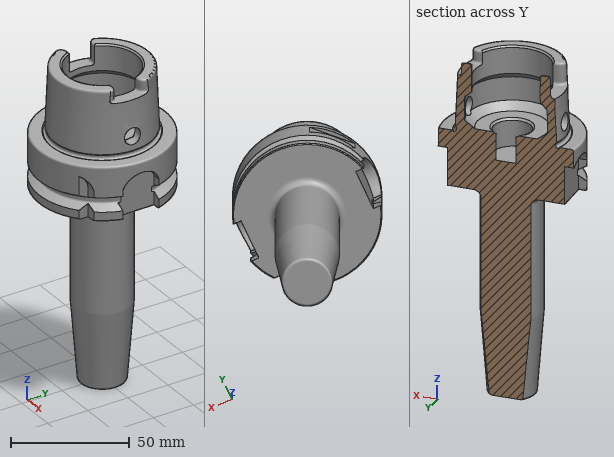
import cadquery as cq
import math

total_height = 152
flange_radius = 31.5
flange_top = 120.1
flange_bottom = 94.0

taper_top_radius = 23.0
rim_round = 1.0
taper_foot_radius = 24.2
taper_foot_z = 122.0
relief_radius = 23.7
relief_start_z = 121.5
relief_fillet = 0.9
relief_outer_radius = 25.4
relief_depth = 0.5

flange_top_round = 1.0
flange_bottom_chamfer = 0.5
groove_radius = 27.5
groove_upper_edge = 105.3
groove_lower_edge = 98.3
groove_side_angle = 30
groove_fillet = 0.8

shank_radius = 13.5
shank_fillet = 3
nose_radius = 10.6
nose_length = 38.3
nose_round = 1.2

bore_radius = 17.0
bore_chamfer = 0.8
undercut_radius = 19.9
undercut_top = 139.2
undercut_bottom = 125.5
floor_radius = 15.8
floor_z = 122.4
well_rim_radius = 9.5
well_radius = 8.5
well_floor = 109.5

notch_half_width = 6.2
notch_corner_radius = 3
notch_flare_radius = 23.3
notch_flare_half_width = 12.2
notch_floor_fillet = 1.2
left_notch_depth = 9.9
right_notch_depth = 6.1

cross_hole_radius = 4.0
cross_hole_z = 128.7

keyway_half_width = 9.0
keyway_floor_x = 26.5
keyway_arc_z = 108.2
keyway_top = 114.9
side_notch_floor_x = 19.9
side_notch_wall_y = -19.8
side_notch_radius = 8.4
side_notch_arc_z = 107.3
flat_angle = 135
flat_distance = 29.8
flat_height = 6.2
flat_z = 113.1


def arc_inset(radius):
    """Distance from a quarter arc's middle to either of its end tangents."""
    return radius * (1 - math.sqrt(0.5))


def make_body():
    groove_drop = (flange_radius - groove_radius) * math.tan(math.radians(groove_side_angle))
    groove_floor_edges = cq.selectors.BoxSelector(
        (-flange_radius, -flange_radius, groove_lower_edge + groove_drop / 2),
        (flange_radius, flange_radius, groove_upper_edge - groove_drop / 2),
    )
    nose_inset = arc_inset(nose_round)
    shank_inset = arc_inset(shank_fillet)
    flange_inset = arc_inset(flange_top_round)
    relief_inset = arc_inset(relief_fillet)
    rim_inset = arc_inset(rim_round)
    relief_floor = flange_top - relief_depth
    return (
        cq.Workplane("XZ")
        .lineTo(nose_radius - nose_round, 0)
        .threePointArc((nose_radius - nose_inset, nose_inset), (nose_radius, nose_round))
        .lineTo(shank_radius, nose_length)
        .lineTo(shank_radius, flange_bottom - shank_fillet)
        .threePointArc(
            (shank_radius + shank_inset, flange_bottom - shank_inset),
            (shank_radius + shank_fillet, flange_bottom),
        )
        .lineTo(flange_radius - flange_bottom_chamfer, flange_bottom)
        .lineTo(flange_radius, flange_bottom + flange_bottom_chamfer)
        .lineTo(flange_radius, groove_lower_edge)
        .lineTo(groove_radius, groove_lower_edge + groove_drop)
        .lineTo(groove_radius, groove_upper_edge - groove_drop)
        .lineTo(flange_radius, groove_upper_edge)
        .lineTo(flange_radius, flange_top - flange_top_round)
        .threePointArc(
            (flange_radius - flange_inset, flange_top - flange_inset),
            (flange_radius - flange_top_round, flange_top),
        )
        .lineTo(relief_outer_radius, flange_top)
        .lineTo(relief_outer_radius - relief_depth, relief_floor)
        .lineTo(relief_radius + relief_fillet, relief_floor)
        .threePointArc(
            (relief_radius + relief_inset, relief_floor + relief_inset),
            (relief_radius, relief_floor + relief_fillet),
        )
        .lineTo(relief_radius, relief_start_z)
        .lineTo(taper_foot_radius, taper_foot_z)
        .lineTo(taper_top_radius, total_height - rim_round)
        .threePointArc(
            (taper_top_radius - rim_inset, total_height - rim_inset),
            (taper_top_radius - rim_round, total_height),
        )
        .lineTo(0, total_height)
        .close()
        .revolve(360, (0, 0, 0), (0, 1, 0))
        .edges(groove_floor_edges)
        .fillet(groove_fillet)
    )


def make_bore():
    return (
        cq.Workplane("XZ")
        .moveTo(0, total_height)
        .lineTo(bore_radius + bore_chamfer, total_height)
        .lineTo(bore_radius, total_height - bore_chamfer)
        .lineTo(bore_radius, undercut_top)
        .lineTo(undercut_radius, undercut_top - (undercut_radius - bore_radius))
        .lineTo(undercut_radius, undercut_bottom)
        .lineTo(floor_radius, floor_z)
        .lineTo(well_rim_radius, floor_z)
        .lineTo(well_radius, floor_z - (well_rim_radius - well_radius))
        .lineTo(well_radius, well_floor)
        .lineTo(0, well_floor)
        .close()
        .revolve(360, (0, 0, 0), (0, 1, 0))
    )


notch_corner_y = notch_half_width + notch_corner_radius
notch_corner_x = math.sqrt((notch_flare_radius - notch_corner_radius) ** 2 - notch_corner_y**2)
notch_corner_angle = math.atan2(notch_corner_y, notch_corner_x)
notch_flare_angle = math.asin(notch_flare_half_width / notch_flare_radius)

edge_margin = 0.2
notch_wall_edges = cq.selectors.BoxSelector(
    (edge_margin, edge_margin - notch_flare_half_width, 0),
    (notch_flare_radius, notch_flare_half_width - edge_margin, 2 * total_height),
)


def flare_point(angle):
    return (notch_flare_radius * math.cos(angle), notch_flare_radius * math.sin(angle))


def trace_notch_wall(z):
    """Open wire along the +Y wall of a notch on the +X side, from the axis outward."""
    corner_middle_angle = (notch_corner_angle - math.pi / 2) / 2
    corner_middle = (
        notch_corner_x + notch_corner_radius * math.cos(corner_middle_angle),
        notch_corner_y + notch_corner_radius * math.sin(corner_middle_angle),
    )
    flare_middle = flare_point((notch_corner_angle + notch_flare_angle) / 2)
    return (
        cq.Workplane("XY")
        .workplane(offset=z)
        .moveTo(0, notch_half_width)
        .lineTo(notch_corner_x, notch_half_width)
        .threePointArc(corner_middle, flare_point(notch_corner_angle))
        .threePointArc(flare_middle, flare_point(notch_flare_angle))
    )


def make_rim_layer():
    """Top layer of a notch that rounds the upper edge of its +Y wall."""
    bottom = total_height - rim_round
    land = (
        trace_notch_wall(bottom - rim_round)
        .lineTo(0, notch_flare_half_width)
        .close()
        .extrude(2 * rim_round)
        .faces(">Z")
        .edges(notch_wall_edges)
        .fillet(rim_round)
    )
    return (
        cq.Workplane("XY")
        .box(flange_radius, notch_flare_half_width, rim_round, centered=False)
        .translate((0, 0, bottom))
        .cut(land)
    )


def make_drive_notch(depth):
    """Drive notch on the +X side with a filleted floor and rounded upper edges."""
    half = (
        trace_notch_wall(total_height - depth)
        .lineTo(flange_radius, notch_flare_half_width)
        .lineTo(flange_radius, 0)
        .lineTo(0, 0)
        .close()
        .extrude(depth)
    )
    notch = half.union(half.mirror("XZ"))
    notch = notch.faces("<Z").edges(notch_wall_edges).fillet(notch_floor_fillet)
    rim_layer = make_rim_layer()
    return notch.union(rim_layer).union(rim_layer.mirror("XZ"))


def make_keyway():
    """Arched keyway on the +X side of the flange, open at the bottom."""
    return (
        cq.Workplane("YZ")
        .workplane(offset=keyway_floor_x)
        .moveTo(-keyway_half_width, flange_bottom)
        .lineTo(-keyway_half_width, keyway_arc_z)
        .threePointArc((0, keyway_top), (keyway_half_width, keyway_arc_z))
        .lineTo(keyway_half_width, flange_bottom)
        .close()
        .extrude(flange_radius)
    )


def make_side_notch():
    """Round-topped notch in the +X, -Y quarter of the flange, open at the bottom."""
    far_wall_y = side_notch_wall_y - 2 * side_notch_radius
    return (
        cq.Workplane("YZ")
        .workplane(offset=side_notch_floor_x)
        .moveTo(side_notch_wall_y, flange_bottom)
        .lineTo(side_notch_wall_y, side_notch_arc_z)
        .threePointArc(
            (side_notch_wall_y - side_notch_radius, side_notch_arc_z + side_notch_radius),
            (far_wall_y, side_notch_arc_z),
        )
        .lineTo(far_wall_y, flange_bottom)
        .close()
        .extrude(flange_radius)
    )


def make_flat():
    """Flat-bottomed recess in the flange rim, facing flat_angle degrees from +X."""
    return (
        cq.Workplane("XY")
        .box(flange_radius, flange_radius, flat_height, centered=(False, True, True))
        .translate((flat_distance, 0, flat_z))
        .rotate((0, 0, 0), (0, 0, 1), flat_angle)
    )


def opposite(shape):
    return shape.rotate((0, 0, 0), (0, 0, 1), 180)


def make_cross_hole():
    return (
        cq.Workplane("YZ")
        .center(0, cross_hole_z)
        .circle(cross_hole_radius)
        .extrude(flange_radius, both=True)
    )


keyway = make_keyway()
right_notch = make_drive_notch(right_notch_depth)
left_notch = opposite(make_drive_notch(left_notch_depth))

result = make_body()
result = result.cut(right_notch).cut(left_notch)
result = result.cut(make_bore()).cut(make_cross_hole())
result = result.cut(keyway).cut(opposite(keyway))
result = result.cut(make_side_notch()).cut(make_flat())